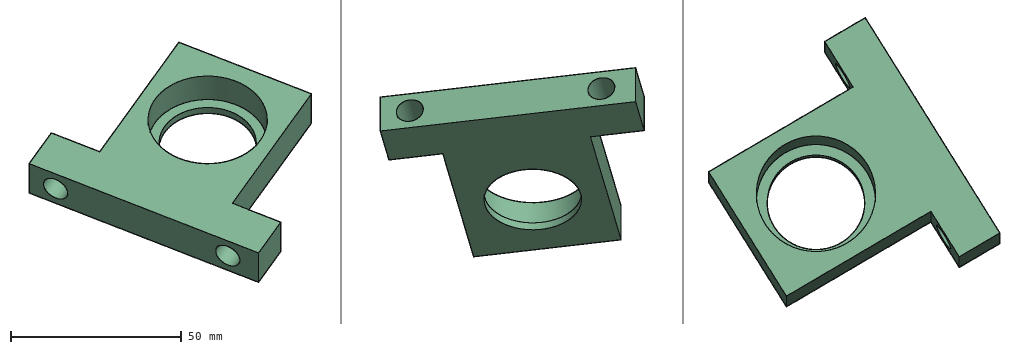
import cadquery as cq

foot_length = 76.2
total_depth = 63.5
thickness = 12.7
foot_depth = 13.95
stem_width = 44.05

bore_y = 40.0
seat_diameter = 35.0
seat_depth = 10.1
bore_diameter = 28.6

mount_diameter = 8.0
mount_spacing = 57.15
mount_offset = -0.7


def make_plate():
    """T-shaped plate with its front face at Y = 0 and its bottom at Z = 0."""
    foot = cq.Workplane("XY").box(foot_length, foot_depth, thickness, centered=(True, False, False))
    stem = cq.Workplane("XY").box(stem_width, total_depth, thickness, centered=(True, False, False))
    return foot.union(stem)


def make_stepped_bore():
    """Through bore with a wider seat opening at the top face."""
    bore = cq.Workplane("XY").center(0, bore_y).circle(bore_diameter / 2).extrude(thickness)
    seat = (
        cq.Workplane("XY", origin=(0, bore_y, thickness))
        .circle(seat_diameter / 2)
        .extrude(-seat_depth)
    )
    return bore.union(seat)


def make_mount_holes():
    """Pair of cylinders running along Y through the foot at mid thickness."""
    return (
        cq.Workplane("XZ", origin=(mount_offset, 0, thickness / 2))
        .pushPoints([(side * mount_spacing / 2, 0) for side in (-1, 1)])
        .circle(mount_diameter / 2)
        .extrude(-foot_depth)
    )


result = make_plate().cut(make_stepped_bore()).cut(make_mount_holes())